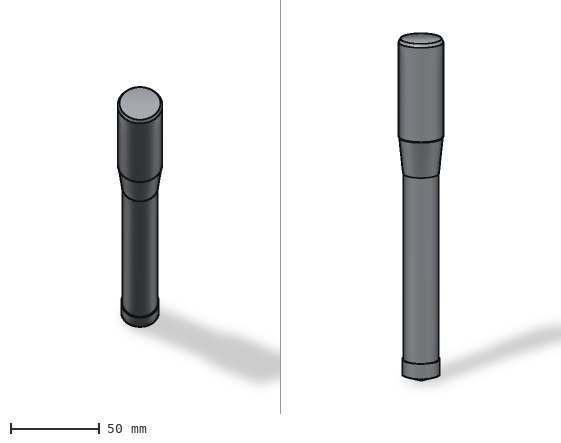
import cadquery as cq
import math

OVERALL_LENGTH = 200.09

TIP_RADIUS = 10.72
TIP_LENGTH = 12.7
POINT_ANGLE = 140.0
POINT_HEIGHT = TIP_RADIUS / math.tan(math.radians(POINT_ANGLE / 2))

SHANK_RADIUS = 25.4 / 2
SHANK_LENGTH = 57.05
CHAMFER_WIDTH = 1.15
CHAMFER_HEIGHT = 2.0

BODY_RADIUS = 10.05
TAPER_LENGTH = 20.6
TAPER_TOP_RADIUS = 12.4
TAPER_BOTTOM_RADIUS = 10.28
BEVEL_HEIGHT = 0.6

SHANK_BOTTOM = OVERALL_LENGTH - SHANK_LENGTH
TAPER_TOP = SHANK_BOTTOM - BEVEL_HEIGHT
TAPER_BOTTOM = TAPER_TOP - TAPER_LENGTH
BODY_TOP = TAPER_BOTTOM - BEVEL_HEIGHT


def revolve_profile(points):
    """Revolve a closed (radius, height) outline, set on the -X side, a full turn about Z."""
    half_plane = cq.Plane(origin=(0, 0, 0), xDir=(-1, 0, 0), normal=(0, 1, 0))
    outline = cq.Workplane(half_plane).polyline(points).close()
    return outline.revolve(360, (0, 0, 0), (0, 1, 0))


def make_tip():
    """Short cylinder ending in a conical drill point."""
    return revolve_profile([
        (0, 0),
        (TIP_RADIUS, POINT_HEIGHT),
        (TIP_RADIUS, TIP_LENGTH),
        (0, TIP_LENGTH),
    ])


def make_holder():
    """Slim body, tapered neck and chamfered shank, standing on the flat top of the tip."""
    return revolve_profile([
        (0, TIP_LENGTH),
        (BODY_RADIUS, TIP_LENGTH),
        (BODY_RADIUS, BODY_TOP),
        (TAPER_BOTTOM_RADIUS, TAPER_BOTTOM),
        (TAPER_TOP_RADIUS, TAPER_TOP),
        (SHANK_RADIUS, SHANK_BOTTOM),
        (SHANK_RADIUS, OVERALL_LENGTH - CHAMFER_HEIGHT),
        (SHANK_RADIUS - CHAMFER_WIDTH, OVERALL_LENGTH),
        (0, OVERALL_LENGTH),
    ])


tip = make_tip()
holder = make_holder()

result = cq.Compound.makeCompound([tip.val(), holder.val()])